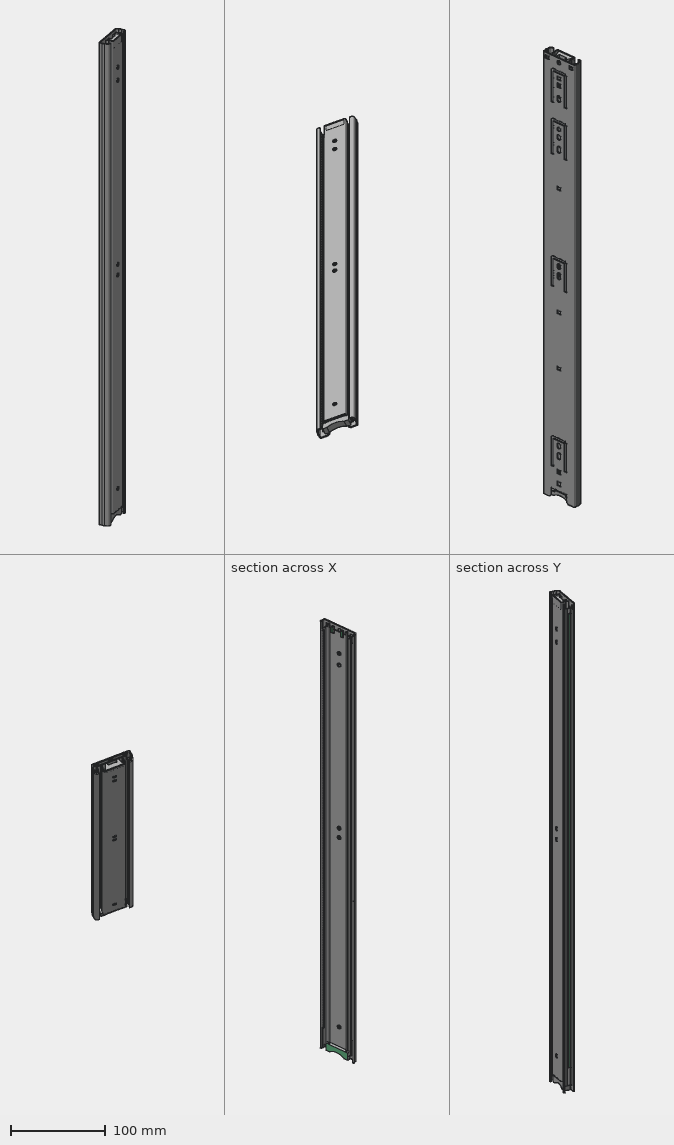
import cadquery as cq
import math


LENGTH = 550.0
DEPTH = 12.5
WIDTH = 45.0
BACK_X = -DEPTH / 2
FRONT_X = DEPTH / 2

OUTER_SHEET = 1.4
INNER_PROUD = 0.35
OUTER_FRONT_X = FRONT_X - INNER_PROUD
THIN_SHEET = 1.0
RACE_HEIGHT = 0.5
RACE_X = -0.8
RACE_WIDTH = 3.5
OUTER_FLANGE_Y = WIDTH / 2 - RACE_HEIGHT
OUTER_BEND = 1.5
OUTER_CURL = 3.5
OUTER_MOUTH = 34.0
MIDDLE_FLANGE_Y = 17.5
MIDDLE_BEND = 1.0
WEB_GAP = 0.5
MIDDLE_BACK_X = BACK_X + OUTER_SHEET + WEB_GAP
MIDDLE_TIP_X = 4.0
INNER_FLANGE_Y = 12.5
INNER_BEND = 1.5
INNER_TIP_X = -3.0

MIDDLE_TOP_Z = 544.0
MIDDLE_BOTTOM_Z = 6.5
OUTER_NOTCH_TOP_Z = 11.5
OUTER_NOTCH_HALF_WIDTH = 11.0
OUTER_NOTCH_FLARE = 2.0
MIDDLE_NOTCH_TOP_Z = 9.0
MIDDLE_NOTCH_HALF_WIDTH = 7.5

TONGUE_SLOT = 3.5
TONGUE_HALF_WIDTH = 11.0
TONGUE_CORNER = 2.0
TONGUES = [
    (491.5, 534.0),
    (427.5, 472.0),
    (263.0, 301.0),
    (39.0, 77.0),
]

HOLE_WIDTH = 5.0
SLOT_HOLES = [
    (499.5, 8.0),
    (451.5, 6.5),
    (436.0, 8.0),
    (291.0, 6.5),
    (279.0, 8.0),
    (67.5, 7.0),
    (55.0, 8.0),
]
ROUND_HOLES = [544.5, 461.5]
SQUARE_HOLES = [516.0, 35.0, 20.5]
WINDOW_HEIGHT = 4.0
WINDOWS = [524.5, 388.0, 234.0, 164.0]
SCREW_HOLE = 4.5
SCREW_HOLES = [516.0, 501.0, 291.0, 279.0, 35.0]

LANCE_Y = 16.5
LANCE_WIDTH = 5.0
LANCE_HEIGHT = 4.0
LANCE_Z = 544.5

RETAINER_WIDTH = 3.0
RETAINER_SHEET = 1.5
RETAINER_BOTTOM_Z = 27.5
RETAINER_TOP_Z = 539.0
RETAINER_Y = (OUTER_FLANGE_Y - OUTER_SHEET + MIDDLE_FLANGE_Y) / 2

BLOCK_TOP_Z = 549.5
BLOCK_HEIGHT = 8.0
BLOCK_BACK_X = -2.0
BLOCK_FRONT_X = FRONT_X - THIN_SHEET
BLOCK_BACK_Y = 7.0
BLOCK_FRONT_Y = 10.5
BLOCK_RECESS_X = 0.5
BLOCK_RECESS_Y = 5.0

BUMPER_BACK_X = MIDDLE_BACK_X + THIN_SHEET
BUMPER_FRONT_X = MIDDLE_TIP_X
BUMPER_HALF_WIDTH = 15.0
BUMPER_BOTTOM_Z = 0.5
BUMPER_TOP_Z = 10.5
BUMPER_ARCH_Y = 10.0
BUMPER_ARCH_Z = 4.0


def raced_section(back_x, front_x, flange_y, back_bend, front_bend, race):
    """Box section, rounded at its back and front corners, whose two sides carry a ball race.

    A positive race swells outward and a negative one is sunk into the side.
    """
    race_back = RACE_X - RACE_WIDTH / 2
    race_front = RACE_X + RACE_WIDTH / 2
    back_nook = back_bend * (1 - math.sqrt(0.5))
    front_nook = front_bend * (1 - math.sqrt(0.5))
    back_web_y = flange_y - back_bend
    front_web_y = flange_y - front_bend
    back_corner = (back_x + back_nook, flange_y - back_nook)
    front_corner = (front_x - front_nook, flange_y - front_nook)
    return (
        cq.Workplane("XY")
        .moveTo(back_x, -back_web_y)
        .threePointArc((back_corner[0], -back_corner[1]), (back_x + back_bend, -flange_y))
        .lineTo(race_back, -flange_y)
        .threePointArc((RACE_X, -flange_y - race), (race_front, -flange_y))
        .lineTo(front_x - front_bend, -flange_y)
        .threePointArc((front_corner[0], -front_corner[1]), (front_x, -front_web_y))
        .lineTo(front_x, front_web_y)
        .threePointArc(front_corner, (front_x - front_bend, flange_y))
        .lineTo(race_front, flange_y)
        .threePointArc((RACE_X, flange_y + race), (race_back, flange_y))
        .lineTo(back_x + back_bend, flange_y)
        .threePointArc(back_corner, (back_x, back_web_y))
        .close()
    )


def block(x_range, y_range, z_range):
    """Plain box between the given limits."""
    (x0, x1), (y0, y1), (z0, z1) = x_range, y_range, z_range
    return cq.Workplane("XY").box(x1 - x0, y1 - y0, z1 - z0, centered=False).translate((x0, y0, z0))


def raced_tube(back_x, front_x, flange_y, back_bend, front_bend, race, sheet, bottom, top):
    """Closed sheet-metal tube from which a channel is cut open."""
    height = top - bottom
    skin = raced_section(back_x, front_x, flange_y, back_bend, front_bend, race).extrude(height)
    cavity = raced_section(
        back_x + sheet,
        front_x - sheet,
        flange_y - sheet,
        back_bend - sheet / 2,
        front_bend - sheet / 2,
        race,
    ).extrude(height)
    return skin.cut(cavity).translate((0, 0, bottom))


def web_cutter(sketch, back_x, sheet):
    """Turn a YZ outline into a cutter passing only through the web at back_x."""
    return sketch.extrude(sheet).translate((back_x, 0, 0))


def web_plane(points):
    """YZ sketch plane with the given (y, z) points on its stack."""
    return cq.Workplane("YZ").pushPoints(points)


def outer_notch():
    """Bottom notch of the outer web, flared at its open end."""
    half = OUTER_NOTCH_HALF_WIDTH
    flare = OUTER_NOTCH_FLARE
    outline = cq.Workplane("YZ").polyline([
        (-half - flare, 0),
        (-half, flare),
        (-half, OUTER_NOTCH_TOP_Z),
        (half, OUTER_NOTCH_TOP_Z),
        (half, flare),
        (half + flare, 0),
    ]).close()
    return web_cutter(outline, BACK_X, OUTER_SHEET)


def middle_notch():
    """Bottom notch of the middle web."""
    half = MIDDLE_NOTCH_HALF_WIDTH
    return block(
        (MIDDLE_BACK_X, MIDDLE_BACK_X + THIN_SHEET), (-half, half), (0, MIDDLE_NOTCH_TOP_Z)
    )


def tongue_slot(bottom, top):
    """Upside-down U slot with bevelled outer corners."""
    outside = TONGUE_HALF_WIDTH
    inside = outside - TONGUE_SLOT
    outline = cq.Workplane("YZ").polyline([
        (-outside, bottom),
        (-outside, top - TONGUE_CORNER),
        (-outside + TONGUE_CORNER, top),
        (outside - TONGUE_CORNER, top),
        (outside, top - TONGUE_CORNER),
        (outside, bottom),
        (inside, bottom),
        (inside, top - TONGUE_SLOT),
        (-inside, top - TONGUE_SLOT),
        (-inside, bottom),
    ]).close()
    return web_cutter(outline, BACK_X, OUTER_SHEET)


def on_centre_line(heights):
    """(y, z) points on the centre line of a web."""
    return [(0, z) for z in heights]


def drill_outer_web(rail):
    """Cut every hole of the outer web."""
    sketches = [
        web_plane(on_centre_line(ROUND_HOLES)).circle(HOLE_WIDTH / 2),
        web_plane(on_centre_line(SQUARE_HOLES)).rect(HOLE_WIDTH, HOLE_WIDTH),
        web_plane(on_centre_line(WINDOWS)).rect(HOLE_WIDTH, WINDOW_HEIGHT),
        web_plane([(-LANCE_Y, LANCE_Z), (LANCE_Y, LANCE_Z)]).rect(LANCE_WIDTH, LANCE_HEIGHT),
    ]
    for z, length in SLOT_HOLES:
        sketches.append(web_plane([(0, z)]).slot2D(length, HOLE_WIDTH, 90))
    for sketch in sketches:
        rail = rail.cut(web_cutter(sketch, BACK_X, OUTER_SHEET))
    return rail


def drill_screw_holes(rail):
    """Cut the screw holes straight through a nested rail along X."""
    holes = web_plane(on_centre_line(SCREW_HOLES)).circle(SCREW_HOLE / 2).extrude(DEPTH, both=True)
    return rail.cut(holes)


def make_outer_rail():
    """Outer channel: web at the back, flanges ending in curled lips."""
    rail = raced_tube(
        BACK_X, OUTER_FRONT_X, OUTER_FLANGE_Y, OUTER_BEND, OUTER_CURL, RACE_HEIGHT,
        OUTER_SHEET, 0, LENGTH,
    )
    mouth = block((0, OUTER_FRONT_X), (-OUTER_MOUTH / 2, OUTER_MOUTH / 2), (0, LENGTH))
    rail = rail.cut(mouth).cut(outer_notch())
    for bottom, top in TONGUES:
        rail = rail.cut(tongue_slot(bottom, top))
    return drill_outer_web(rail)


def make_middle_rail():
    """Middle channel, open at the front, with races sunk for the outer balls."""
    rail = raced_tube(
        MIDDLE_BACK_X, FRONT_X, MIDDLE_FLANGE_Y, MIDDLE_BEND, MIDDLE_BEND, -RACE_HEIGHT,
        THIN_SHEET, MIDDLE_BOTTOM_Z, MIDDLE_TOP_Z,
    )
    mouth = block((MIDDLE_TIP_X, FRONT_X), (-WIDTH / 2, WIDTH / 2), (0, LENGTH))
    rail = rail.cut(mouth).cut(middle_notch())
    return drill_screw_holes(rail)


def make_inner_rail():
    """Inner channel, web at the front and open towards the middle rail."""
    rail = raced_tube(
        BACK_X, FRONT_X, INNER_FLANGE_Y, INNER_BEND, INNER_BEND, -RACE_HEIGHT,
        THIN_SHEET, BUMPER_TOP_Z, LENGTH,
    )
    mouth = block((BACK_X, INNER_TIP_X), (-WIDTH / 2, WIDTH / 2), (0, LENGTH))
    return drill_screw_holes(rail.cut(mouth))


def make_retainer(side):
    """Ball retainer strip between the outer and middle flanges on one side."""
    height = RETAINER_TOP_Z - RETAINER_BOTTOM_Z
    return (
        cq.Workplane("XY")
        .box(RETAINER_WIDTH, RETAINER_SHEET, height, centered=(True, True, False))
        .translate((RACE_X, side * RETAINER_Y, RETAINER_BOTTOM_Z))
    )


def make_stop_block():
    """Tapered block with a recess in its back."""
    return (
        cq.Workplane("XY")
        .polyline([
            (BLOCK_FRONT_X, -BLOCK_FRONT_Y),
            (BLOCK_FRONT_X, BLOCK_FRONT_Y),
            (BLOCK_BACK_X, BLOCK_BACK_Y),
            (BLOCK_BACK_X, BLOCK_RECESS_Y),
            (BLOCK_RECESS_X, BLOCK_RECESS_Y),
            (BLOCK_RECESS_X, -BLOCK_RECESS_Y),
            (BLOCK_BACK_X, -BLOCK_RECESS_Y),
            (BLOCK_BACK_X, -BLOCK_BACK_Y),
        ])
        .close()
        .extrude(BLOCK_HEIGHT)
        .translate((0, 0, BLOCK_TOP_Z - BLOCK_HEIGHT))
    )


def make_bumper():
    """Bumper with an arched underside."""
    return (
        cq.Workplane("YZ")
        .moveTo(-BUMPER_HALF_WIDTH, BUMPER_BOTTOM_Z)
        .lineTo(-BUMPER_ARCH_Y, BUMPER_BOTTOM_Z)
        .threePointArc((0, BUMPER_ARCH_Z), (BUMPER_ARCH_Y, BUMPER_BOTTOM_Z))
        .lineTo(BUMPER_HALF_WIDTH, BUMPER_BOTTOM_Z)
        .lineTo(BUMPER_HALF_WIDTH, BUMPER_TOP_Z)
        .lineTo(-BUMPER_HALF_WIDTH, BUMPER_TOP_Z)
        .close()
        .extrude(BUMPER_FRONT_X - BUMPER_BACK_X)
        .translate((BUMPER_BACK_X, 0, 0))
    )


outer_rail = make_outer_rail()
middle_rail = make_middle_rail()
inner_rail = make_inner_rail()
retainers = [make_retainer(side) for side in (-1, 1)]
stop_block = make_stop_block()
bumper = make_bumper()

result = cq.Compound.makeCompound([
    outer_rail.val(),
    middle_rail.val(),
    inner_rail.val(),
    *[retainer.val() for retainer in retainers],
    stop_block.val(),
    bumper.val(),
])